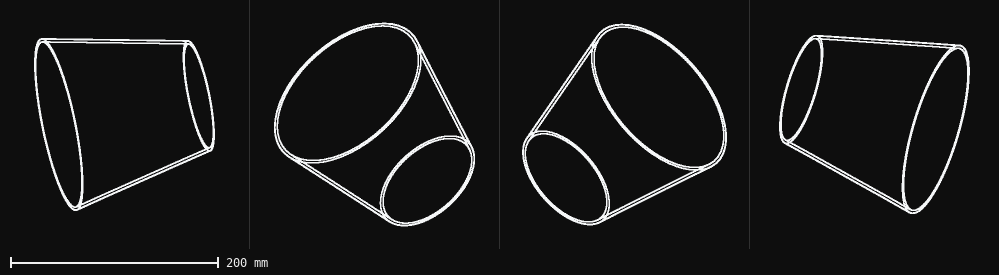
import cadquery as cq

large_diameter = 168.3
small_diameter = 108.0
length = 140.0
wall = 3.0

large_radius = large_diameter / 2
small_radius = small_diameter / 2

wall_section = [
    (large_radius - wall, 0),
    (large_radius, 0),
    (small_radius, length),
    (small_radius - wall, length),
]

result = (
    cq.Workplane("XY")
    .polyline(wall_section)
    .close()
    .revolve(360, (0, 0, 0), (0, 1, 0))
)